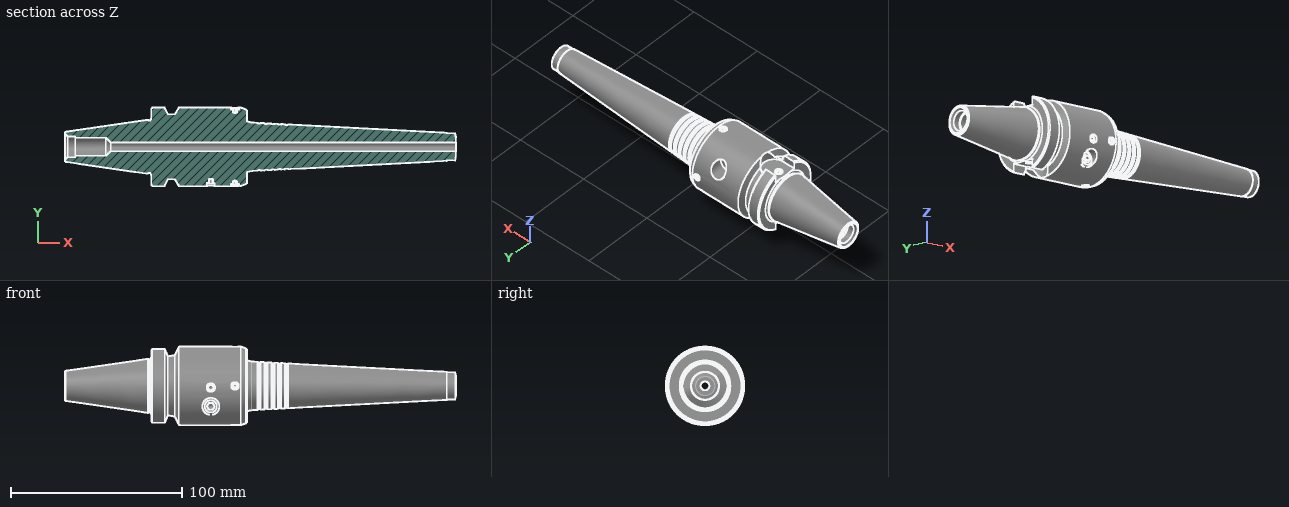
import cadquery as cq
import math


gauge_radius = 31.75 / 2
shank_length = 48.4
taper_slope = 7 / 24 / 2
shank_end_radius = gauge_radius - shank_length * taper_slope
shank_chamfer = 0.5
relief_radius = 15.4
relief_start = 0.5
relief_end = 1.3
flange_root_radius = 17.0

body_radius = 23.0
flange_start = 2.0
flange_chamfer = 0.7
v_groove_start = 9.9
v_groove_floor_start = 11.8
v_groove_floor_end = 15.8
v_groove_end = 18.2
v_groove_radius = 19.1
body_taper_start = 54.3
body_end = 58.0
body_end_chamfer = 0.8
body_shoulder_radius = 22.0

total_front_length = 180.0
neck_root_radius = 14.3
neck_fillet_end = 60.5
neck_fillet_rise = 0.6
nose_start = 174.5
neck_tip_radius = 8.3
nose_radius = 8.0
nose_bevel_length = 0.6
nose_face_radius = 5.6
ring_groove_count = 5
ring_groove_pitch = 4.0
ring_groove_width = 2.0
ring_groove_wall = 0.6
ring_groove_depth = 0.4
first_ring_groove = 64.0

entry_radius = 12.0 / 2
entry_depth = 6.0
entry_chamfer = 1.6
thread_radius = 10.4 / 2
thread_depth = 24.0
bore_radius = 5.0 / 2
cone_length = thread_radius - bore_radius

slot_width = 16.1
slot_floor = 16.3
slot_end = 18.65

socket_point_angle = 30.0
screw_clearance = 1.0
flange_screw_x = 7.0
balance_screw_x = 50.9
set_screw = dict(radius=4.5 / 2, chamfer=0.5, socket=2.0, socket_depth=2.0)
set_screw_sink = 0.8
clamp_x = 36.8
clamp_offset = 12.0
clamp_screw = dict(radius=10.0 / 2, chamfer=1.4, socket=4.0, socket_depth=3.0)
clamp_screw_face = 17.0
rear_hole_radius = 10.4 / 2
rear_hole_floor = 12.0
side_screw = dict(radius=5.0 / 2, chamfer=0.5, socket=3.0, socket_depth=2.5)
side_screw_drop = 1.0
side_screw_sink = 1.5


def neck_radius(x):
    """Radius of the conical neck at position x."""
    share = (x - neck_fillet_end) / (nose_start - neck_fillet_end)
    return neck_root_radius + share * (neck_tip_radius - neck_root_radius)


def make_blank():
    """Outer shape turned about the X axis."""
    v_floor = [(v_groove_floor_start, v_groove_radius), (v_groove_floor_end, v_groove_radius)]
    outline = cq.Workplane("XY").moveTo(-shank_length, 0)
    outline = outline.lineTo(-shank_length, shank_end_radius - shank_chamfer)
    outline = outline.lineTo(
        -shank_length + shank_chamfer, shank_end_radius + shank_chamfer * taper_slope
    )
    outline = outline.lineTo(0, gauge_radius)
    outline = outline.lineTo(relief_start, relief_radius)
    outline = outline.lineTo(relief_end, relief_radius)
    outline = outline.lineTo(flange_start, flange_root_radius)
    outline = outline.lineTo(flange_start, body_radius - flange_chamfer)
    outline = outline.lineTo(flange_start + flange_chamfer, body_radius)
    outline = outline.lineTo(v_groove_start, body_radius)
    outline = outline.lineTo(*v_floor[0]).lineTo(*v_floor[1])
    outline = outline.lineTo(v_groove_end, body_radius)
    outline = outline.lineTo(body_taper_start, body_radius)
    outline = outline.lineTo(body_end - body_end_chamfer, body_shoulder_radius)
    outline = outline.lineTo(body_end, body_shoulder_radius - body_end_chamfer)
    outline = outline.lineTo(body_end, neck_root_radius + neck_fillet_rise)
    outline = outline.lineTo(neck_fillet_end, neck_root_radius)
    outline = outline.lineTo(nose_start, neck_tip_radius)
    outline = outline.lineTo(nose_start, nose_radius)
    outline = outline.lineTo(total_front_length - nose_bevel_length, nose_radius)
    outline = outline.lineTo(total_front_length, nose_face_radius)
    outline = outline.lineTo(total_front_length, 0).close()
    return outline.revolve(360, (0, 0, 0), (1, 0, 0))


def cut_ring_grooves(part):
    """Shallow rings that follow the cone of the neck."""
    for index in range(ring_groove_count):
        start = first_ring_groove + index * ring_groove_pitch
        end = start + ring_groove_width
        floor_start = start + ring_groove_wall
        floor_end = end - ring_groove_wall
        ring = (
            cq.Workplane("XY")
            .moveTo(start, neck_radius(start))
            .lineTo(floor_start, neck_radius(floor_start) - ring_groove_depth)
            .lineTo(floor_end, neck_radius(floor_end) - ring_groove_depth)
            .lineTo(end, neck_radius(end))
            .lineTo(end, body_radius)
            .lineTo(start, body_radius)
            .close()
            .revolve(360, (0, 0, 0), (1, 0, 0))
        )
        part = part.cut(ring)
    return part


def cut_bore(part):
    """Stepped bore from the shank end, narrowing to a through hole."""
    rear = -shank_length
    profile = (
        cq.Workplane("XY")
        .moveTo(rear, 0)
        .lineTo(rear, entry_radius + entry_chamfer)
        .lineTo(rear + entry_chamfer, entry_radius)
        .lineTo(rear + entry_depth, entry_radius)
        .lineTo(rear + entry_depth, thread_radius)
        .lineTo(rear + thread_depth, thread_radius)
        .lineTo(rear + thread_depth + cone_length, bore_radius)
        .lineTo(total_front_length, bore_radius)
        .lineTo(total_front_length, 0)
        .close()
    )
    return part.cut(profile.revolve(360, (0, 0, 0), (1, 0, 0)))


def cut_drive_slots(part):
    """Two round-ended slots, open toward the shank, above and below the axis."""
    arc_center = slot_end - slot_width / 2
    slot = (
        cq.Workplane("XY", origin=(0, 0, slot_floor))
        .moveTo(0, -slot_width / 2)
        .lineTo(arc_center, -slot_width / 2)
        .threePointArc((slot_end, 0), (arc_center, slot_width / 2))
        .lineTo(0, slot_width / 2)
        .close()
        .extrude(body_radius)
    )
    return part.cut(slot).cut(slot.mirror("XY"))


def sunk_screw_cutter(face, radius, chamfer, socket, socket_depth):
    """Cutter along Z leaving a chamfered screw face with a hexagonal, cone-bottomed socket."""
    top = body_radius + screw_clearance
    space = (
        cq.Workplane("XZ")
        .moveTo(0, top)
        .lineTo(radius, top)
        .lineTo(radius, face - chamfer)
        .lineTo(radius - chamfer, face)
        .lineTo(0, face)
        .close()
        .revolve(360, (0, 0, 0), (0, 1, 0))
    )
    across_corners = socket / math.cos(math.radians(30))
    socket_floor = face - socket_depth
    hexagon = cq.Workplane("XY", origin=(0, 0, socket_floor)).polygon(6, across_corners)
    point_depth = socket / 2 * math.tan(math.radians(socket_point_angle))
    point = (
        cq.Workplane("XZ")
        .moveTo(0, socket_floor)
        .lineTo(socket / 2, socket_floor)
        .lineTo(0, socket_floor - point_depth)
        .close()
        .revolve(360, (0, 0, 0), (0, 1, 0))
    )
    return space.union(hexagon.extrude(socket_depth)).union(point)


def turn_about_axis(cutter, angle):
    """Swing a cutter about X: 0 keeps it at +Z, 90 brings it to -Y."""
    return cutter.rotate((0, 0, 0), (1, 0, 0), angle)


def cut_set_screws(part):
    """Small screws in both drive slots and four around the front of the body."""
    slot_screw = sunk_screw_cutter(slot_floor - set_screw_sink, **set_screw)
    for angle in (0, 180):
        part = part.cut(turn_about_axis(slot_screw, angle).translate((flange_screw_x, 0, 0)))
    body_screw = sunk_screw_cutter(body_radius - set_screw_sink, **set_screw)
    for angle in (0, 90, 180, 270):
        part = part.cut(turn_about_axis(body_screw, angle).translate((balance_screw_x, 0, 0)))
    return part


def cut_clamp_screw(part):
    """Large screw on the -Y side, below the axis and parallel to Y."""
    cutter = turn_about_axis(sunk_screw_cutter(clamp_screw_face, **clamp_screw), 90)
    return part.cut(cutter.translate((clamp_x, 0, -clamp_offset)))


def cut_rear_hole(part):
    """Blind hole on the +Y side, above the axis and parallel to Y."""
    hole = (
        cq.Workplane("XZ", origin=(clamp_x, rear_hole_floor, clamp_offset))
        .circle(rear_hole_radius)
        .extrude(rear_hole_floor - body_radius)
    )
    return part.cut(hole)


def cut_side_screw(part):
    """Medium screw on the -Y side, just below the axis."""
    cutter = turn_about_axis(sunk_screw_cutter(body_radius - side_screw_sink, **side_screw), 90)
    return part.cut(cutter.translate((clamp_x, 0, -side_screw_drop)))


result = make_blank()
result = cut_ring_grooves(result)
result = cut_bore(result)
result = cut_drive_slots(result)
result = cut_set_screws(result)
result = cut_clamp_screw(result)
result = cut_rear_hole(result)
result = cut_side_screw(result)